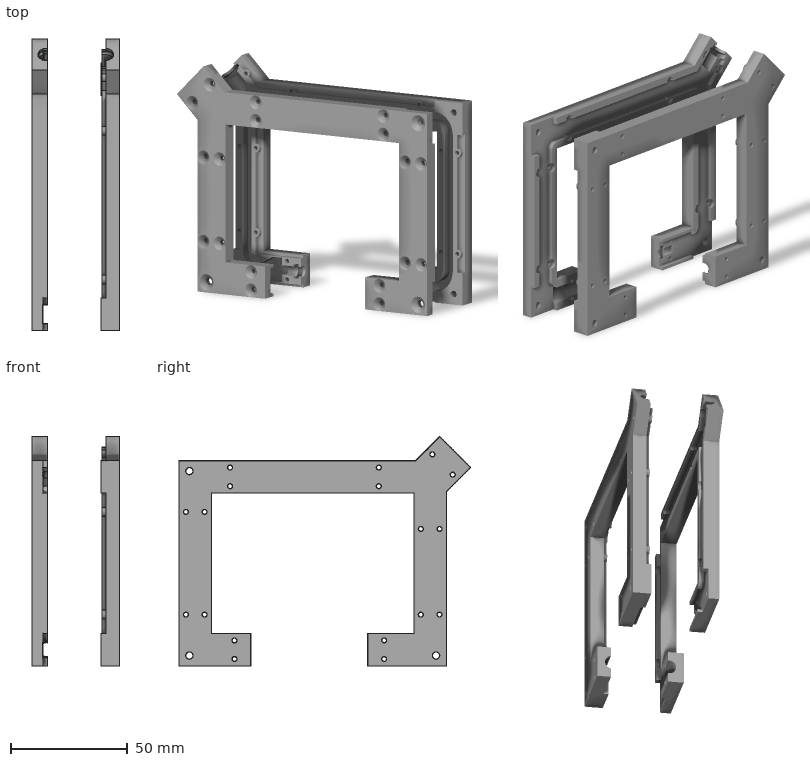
import cadquery as cq
import math

frame_length = 114.6
frame_height = 88.0
rail_width = 14.0
gap_start = 30.85
gap_end = 80.85
overall_thickness = 37.6

tab_width = 18.8
tab_reach = 5.18
root_two = math.sqrt(2)

cover_thickness = 6.8
base_thickness = 5.9
joint_depth = 2.1
tongue_height = 1.7
base_face = overall_thickness - base_thickness
body_spacing = base_face - cover_thickness

rim_width = 3.0
tongue_half = rail_width / 2 - rim_width
tab_tongue_half = 6.2
tab_tongue_reach = 2.0
leg_rim_width = 1.3
channel_half = 2.0
channel_depth = 2.1

fitting_axis = (cover_thickness + base_thickness) / 2
tab_bore_radius = 3.7
tab_bore_end = -6.0
flange_lip = 1.2
flange_length = 2.5
tab_flange_half = 5.2
tab_flange_depth = 4.5
left_bore_radius = 2.4
left_flange_half = 3.2
right_bore_radius = 3.0
sleeve_radius = 3.5
sleeve_end = 21.5
left_bore_length = 8.5
pocket_start = 90.5
pocket_end = 94.7
pocket_half = 5.3

screw_hole = 2.0
screw_head = 5.9
corner_hole = 3.0
corner_head = 7.0
countersink_angle = 90
screw_offset = 4.0
boss_diameter = 3.8
boss_clearance = 4.0
corner_hole_inset = 4.5
top_screw_places = (21.9, 85.6)
right_screw_places = (22.0, 66.0)
left_screw_places = (22.0, 58.7)
right_leg_screw = 23.8
left_leg_screw = 87.9
tab_screw_reach = -2.4
tab_screw_offset = 6.15

mid_rail = rail_width / 2
left_mid = frame_length - mid_rail
top_mid = frame_height - mid_rail
window_left = frame_length - rail_width
window_top = frame_height - rail_width


def tab_point(along, across):
    """Point (Y, Z) at a distance along the tab axis from the frame corner, and across it."""
    return (frame_length + (along - across) / root_two, frame_height + (along + across) / root_two)


def prism(points, x_start, x_end):
    return cq.Workplane("YZ").workplane(offset=x_start).polyline(points).close().extrude(x_end - x_start)


def block(y_start, y_end, z_start, z_end, x_start, x_end):
    points = [(y_start, z_start), (y_end, z_start), (y_end, z_end), (y_start, z_end)]
    return prism(points, x_start, x_end)


def tab_block(along_start, along_end, half_width, x_start, x_end):
    points = [
        tab_point(along_start, -half_width),
        tab_point(along_end, -half_width),
        tab_point(along_end, half_width),
        tab_point(along_start, half_width),
    ]
    return prism(points, x_start, x_end)


def posts(points, diameter, x_start, x_end):
    plane = cq.Workplane("YZ").workplane(offset=x_start)
    return plane.pushPoints(points).circle(diameter / 2).extrude(x_end - x_start)


def frame_plate(x_start, x_end):
    """C-shaped frame with the tab, before the joint is formed."""
    tab_half = tab_width / 2
    tab_root = tab_half * root_two
    outline = [
        (0, 0),
        (gap_start, 0),
        (gap_start, rail_width),
        (rail_width, rail_width),
        (rail_width, window_top),
        (window_left, window_top),
        (window_left, rail_width),
        (gap_end, rail_width),
        (gap_end, 0),
        (frame_length, 0),
        (frame_length, frame_height - tab_root),
        tab_point(tab_reach, -tab_half),
        tab_point(tab_reach, tab_half),
        (frame_length - tab_root, frame_height),
        (0, frame_height),
    ]
    return prism(outline, x_start, x_end)


square_corners = [
    (rail_width, window_top, -1, 1),
    (rail_width, rail_width, -1, -1),
    (window_left, rail_width, 1, -1),
]


def corner_square(corner, x_start, x_end):
    y, z, y_way, z_way = corner
    y_far = y + y_way * rail_width
    z_far = z + z_way * rail_width
    return block(min(y, y_far), max(y, y_far), min(z, z_far), max(z, z_far), x_start, x_end)


def corner_blocks(x_start, x_end):
    """Full corners, each rounded off around the window corner."""
    corners = cq.Workplane("YZ")
    for corner in square_corners:
        rounding = posts([corner[:2]], 2 * rim_width, x_start, x_end)
        corners = corners.add(corner_square(corner, x_start, x_end).cut(rounding))
    return corners.combine()


def rail_band(half_width, x_start, x_end):
    """Band along the middle of the left, top and right rails, turning round the square corners."""
    band = block(rail_width, left_mid, top_mid - half_width, top_mid + half_width, x_start, x_end)
    for y_mid, z_end in ((mid_rail, window_top), (left_mid, top_mid)):
        band = band.union(block(y_mid - half_width, y_mid + half_width, rail_width, z_end, x_start, x_end))
    for corner in square_corners:
        ring = posts([corner[:2]], 2 * (mid_rail + half_width), x_start, x_end)
        ring = ring.cut(posts([corner[:2]], 2 * (mid_rail - half_width), x_start, x_end))
        band = band.union(ring.intersect(corner_square(corner, x_start, x_end)))
    return band


def tongue(x_start, x_end):
    """Raised band of the base, widened on the tab and on the left leg."""
    tab_root = -(tab_tongue_half + rim_width * root_two)
    band = rail_band(tongue_half, x_start, x_end)
    band = band.union(tab_block(tab_root, tab_tongue_reach, tab_tongue_half, x_start, x_end))
    leg = block(gap_end, window_left, leg_rim_width, rail_width - leg_rim_width, x_start, x_end)
    return band.union(leg)


def leg_bore(y_start, y_end, radius, x_axis):
    plane = cq.Workplane("XZ", origin=(x_axis, y_start, mid_rail))
    return plane.circle(radius).extrude(y_start - y_end)


def fitting_bores(x_axis):
    """Bores and flange slots for the fittings in the tab and in both leg ends."""
    start = tab_point(tab_bore_end, 0)
    direction = cq.Vector(0, 1, 1)
    tab_bore = cq.Workplane(cq.Solid.makeCylinder(
        tab_bore_radius, tab_reach - tab_bore_end, cq.Vector(x_axis, *start), direction))
    right_bore = leg_bore(sleeve_end, gap_start, right_bore_radius, x_axis)
    right_sleeve = leg_bore(rail_width, sleeve_end, sleeve_radius, x_axis)
    left_bore = leg_bore(gap_end, gap_end + left_bore_length, left_bore_radius, x_axis)
    bores = tab_bore.union(right_bore).union(right_sleeve).union(left_bore)

    tab_flange_end = tab_reach - flange_lip
    tab_flange = tab_block(tab_flange_end - flange_length, tab_flange_end, tab_flange_half,
                           x_axis - tab_flange_depth, x_axis + tab_flange_depth)
    left_flange_start = gap_end + flange_lip
    left_flange = block(left_flange_start, left_flange_start + flange_length,
                        mid_rail - left_flange_half, mid_rail + left_flange_half,
                        x_axis - left_flange_half, x_axis + left_flange_half)
    return bores.union(tab_flange).union(left_flange)


def screw_groups():
    """Screw points (Y, Z): those in the joint rim, and those in the legs."""
    rim = []
    leg = []
    for side in (-screw_offset, screw_offset):
        rim += [(y, top_mid + side) for y in top_screw_places]
        rim += [(mid_rail + side, z) for z in right_screw_places]
        rim += [(left_mid + side, z) for z in left_screw_places]
        leg += [(y, mid_rail + side) for y in (right_leg_screw, left_leg_screw)]
    rim += [tab_point(tab_screw_reach, side) for side in (-tab_screw_offset, tab_screw_offset)]
    return rim, leg


rim_screws, leg_screws = screw_groups()
corner_screws = [
    (corner_hole_inset, corner_hole_inset),
    (corner_hole_inset, frame_height - corner_hole_inset),
    (frame_length - corner_hole_inset, corner_hole_inset),
]


def countersinks(points, hole, head):
    """Through holes with conical seats opening on the outer face of the cover."""
    depth = (head - hole) / 2 / math.tan(math.radians(countersink_angle / 2))
    cutters = posts(points, hole, 0, cover_thickness)
    for y, z in points:
        cone = cq.Solid.makeCone(head / 2, hole / 2, depth, cq.Vector(0, y, z), cq.Vector(1, 0, 0))
        cutters = cutters.add(cone)
    return cutters.combine()


def make_cover():
    """Half with countersunk screws, recessed for the tongue and corner blocks of the base."""
    recess_floor = cover_thickness - joint_depth
    boss_floor = cover_thickness - tongue_height
    body = frame_plate(0, cover_thickness)
    body = body.cut(corner_blocks(recess_floor, cover_thickness))
    body = body.cut(tongue(recess_floor, cover_thickness))
    body = body.cut(fitting_bores(fitting_axis))
    body = body.cut(posts(rim_screws, boss_clearance, boss_floor, cover_thickness))
    body = body.cut(countersinks(rim_screws + leg_screws, screw_hole, screw_head))
    return body.cut(countersinks(corner_screws, corner_hole, corner_head))


def make_base():
    """Half with the raised tongue that carries the cord channel and the fitting pockets."""
    corner_face = base_face - joint_depth
    tongue_face = base_face - tongue_height
    channel_floor = base_face + channel_depth
    bore_axis = body_spacing + fitting_axis

    body = frame_plate(base_face, overall_thickness)
    body = body.union(corner_blocks(corner_face, base_face))
    body = body.union(tongue(tongue_face, base_face))
    body = body.union(posts(rim_screws, boss_diameter, tongue_face, base_face))

    junction = -mid_rail * root_two - channel_half
    body = body.cut(rail_band(channel_half, corner_face, channel_floor))
    body = body.cut(tab_block(junction, tab_bore_end, channel_half, corner_face, channel_floor))
    low, high = mid_rail - channel_half, mid_rail + channel_half
    body = body.cut(block(gap_end + left_bore_length, window_left, low, high, corner_face, channel_floor))

    body = body.cut(tab_block(tab_bore_end, tab_tongue_reach, tab_bore_radius, corner_face, bore_axis))

    pocket = [
        (window_left, low),
        (pocket_end, mid_rail - pocket_half),
        (pocket_start, mid_rail - pocket_half),
        (pocket_start, mid_rail + pocket_half),
        (pocket_end, mid_rail + pocket_half),
        (window_left, high),
    ]
    body = body.cut(prism(pocket, corner_face, channel_floor))

    body = body.cut(fitting_bores(bore_axis))
    body = body.cut(posts(rim_screws + leg_screws, screw_hole, corner_face, overall_thickness))
    return body.cut(posts(corner_screws, corner_hole, corner_face, overall_thickness))


cover = make_cover()
base = make_base()
result = cq.Compound.makeCompound([*cover.solids().vals(), *base.solids().vals()])